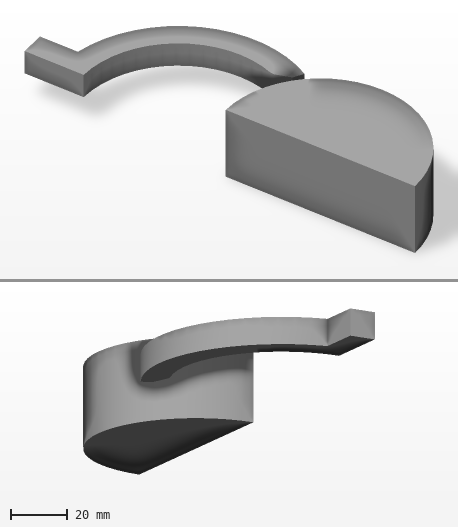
import cadquery as cq
import math

total_length = 165.0
unit_count = 33
grid_step = total_length / unit_count

block_radius = 8 * grid_step
block_height = 6 * grid_step
block_center_x = total_length - block_radius

arm_inner_radius = block_radius
arm_width = 2 * grid_step
arm_outer_radius = arm_inner_radius + arm_width
hook_height = arm_width
tab_length = 5 * grid_step
arm_center_x = tab_length + arm_inner_radius

tip_angle = 60.0
bevel_angle = 66.6
bevel_radius = 40.5
flat_angle = 68.7
tip_face_radius = 45.2


def arm_point(radius, angle):
    """Point at a radius and an angle in degrees about the arm's center."""
    turn = math.radians(angle)
    return (arm_center_x + radius * math.cos(turn), radius * math.sin(turn))


def make_hook():
    """Tab and arm as one flat plate, centered on Z = 0."""
    root_angle = 180 - math.degrees(math.asin(arm_width / arm_outer_radius))
    outer_middle_angle = (root_angle + tip_angle) / 2
    inner_middle_angle = (180 + flat_angle) / 2
    return (
        cq.Workplane("XY")
        .workplane(offset=-hook_height / 2)
        .moveTo(0, 0)
        .lineTo(0, arm_width)
        .lineTo(*arm_point(arm_outer_radius, root_angle))
        .threePointArc(
            arm_point(arm_outer_radius, outer_middle_angle),
            arm_point(arm_outer_radius, tip_angle),
        )
        .lineTo(*arm_point(tip_face_radius, tip_angle))
        .lineTo(*arm_point(bevel_radius, bevel_angle))
        .lineTo(*arm_point(arm_inner_radius, flat_angle))
        .threePointArc(arm_point(arm_inner_radius, inner_middle_angle), (tab_length, 0))
        .close()
        .extrude(hook_height)
    )


def make_block():
    """Half cylinder with its flat side on Y = 0, centered on Z = 0."""
    return (
        cq.Workplane("XY")
        .workplane(offset=-block_height / 2)
        .moveTo(block_center_x - block_radius, 0)
        .threePointArc((block_center_x, block_radius), (total_length, 0))
        .close()
        .extrude(block_height)
    )


hook = make_hook()
block = make_block()
result = cq.Compound.makeCompound([hook.val(), block.val()])